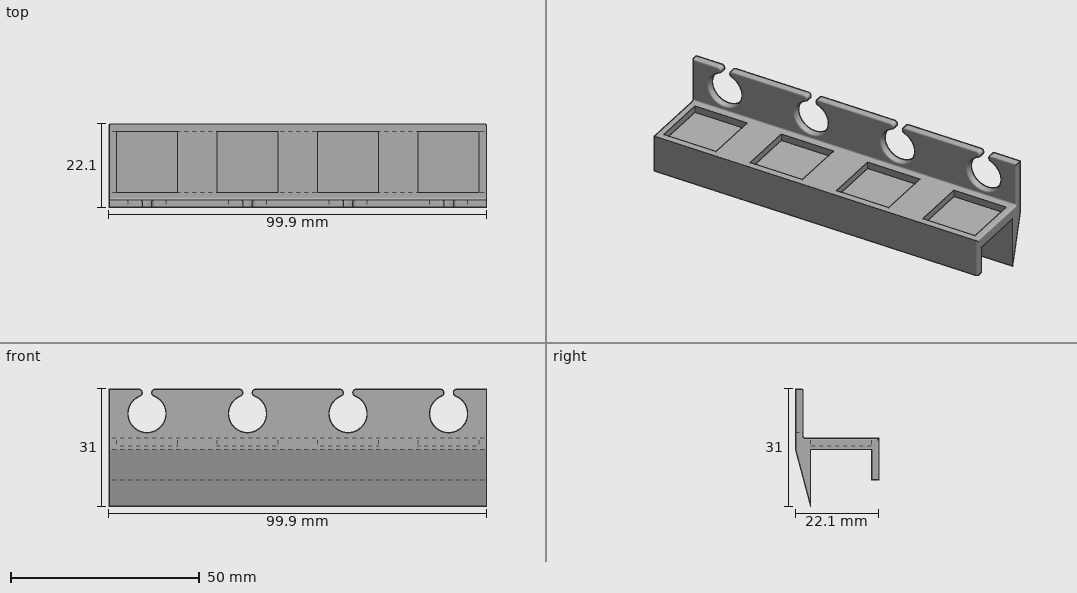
import cadquery as cq
import math

LENGTH = 99.9
HEIGHT = 31.0
WALL = 2.0
POCKET_SIZE = 16.1
POCKET_DEPTH = 2.0
WEDGE_THICKNESS = 4.0
WEDGE_HEIGHT = 15.0
SHELF_THICKNESS = 3.0
LIP_DROP = 8.0
EDGE_RADIUS = 0.5

STATIONS = 4
HOLE_RADIUS = 5.0
HOLE_DROP = 6.5
TIP_RADIUS = 0.96

CHANNEL_BACK = WEDGE_THICKNESS + POCKET_SIZE
DEPTH = CHANNEL_BACK + WALL
SHELF_BOTTOM = WEDGE_HEIGHT
SHELF_TOP = SHELF_BOTTOM + SHELF_THICKNESS
LIP_BOTTOM = SHELF_BOTTOM - LIP_DROP
HOLE_Z = HEIGHT - HOLE_DROP
FIRST_STATION = WALL + POCKET_SIZE / 2
PITCH = (LENGTH - 2 * FIRST_STATION) / (STATIONS - 1)
STATION_X = [FIRST_STATION + i * PITCH for i in range(STATIONS)]


def make_bracket():
    """Constant cross-section along X: upright plate, shelf, back lip and tapered blade."""
    body = (
        cq.Workplane("YZ")
        .moveTo(0, HEIGHT)
        .lineTo(0, WEDGE_HEIGHT)
        .lineTo(WEDGE_THICKNESS, 0)
        .lineTo(WEDGE_THICKNESS, SHELF_BOTTOM)
        .lineTo(CHANNEL_BACK, SHELF_BOTTOM)
        .lineTo(CHANNEL_BACK, LIP_BOTTOM)
        .lineTo(DEPTH, LIP_BOTTOM)
        .lineTo(DEPTH, SHELF_TOP)
        .lineTo(WALL, SHELF_TOP)
        .lineTo(WALL, HEIGHT)
        .close()
        .extrude(LENGTH)
    )
    inner_corner = cq.selectors.NearestToPointSelector((LENGTH / 2, WALL, SHELF_TOP))
    return body.edges(inner_corner).fillet(EDGE_RADIUS)


def make_pocket(x):
    """Square blind pocket in the shelf top."""
    floor_center = (x, WEDGE_THICKNESS + POCKET_SIZE / 2, SHELF_TOP - POCKET_DEPTH)
    return cq.Workplane("XY", origin=floor_center).rect(POCKET_SIZE, POCKET_SIZE).extrude(POCKET_DEPTH)


def make_clip_hole(x):
    """Round hole opening through the plate's top edge between two rounded tips.

    Each tip is a circle tangent to the top edge and, externally, to the hole.
    """
    tip_z = HOLE_DROP - TIP_RADIUS
    tip_distance = HOLE_RADIUS + TIP_RADIUS
    tip_x = math.sqrt(tip_distance**2 - tip_z**2)
    touch_x = tip_x * HOLE_RADIUS / tip_distance
    touch_z = tip_z * HOLE_RADIUS / tip_distance
    half_gap = tip_x - TIP_RADIUS
    return (
        cq.Workplane("XZ", origin=(x, 0, HOLE_Z))
        .moveTo(-tip_x, HOLE_DROP)
        .threePointArc((-half_gap, tip_z), (-touch_x, touch_z))
        .threePointArc((0, -HOLE_RADIUS), (touch_x, touch_z))
        .threePointArc((half_gap, tip_z), (tip_x, HOLE_DROP))
        .close()
        .extrude(-WALL)
    )


def round_edges(body):
    """Round the plate's rear rim, clip holes included, and the shelf and lip edges at both ends."""
    plate_back = body.faces(cq.selectors.NearestToPointSelector((LENGTH / 2, WALL, HOLE_Z)))
    rim_min_z = SHELF_TOP + 2 * EDGE_RADIUS
    rounded = [edge for edge in plate_back.edges().vals() if edge.Center().z > rim_min_z]

    shelf_middle = ((WALL + DEPTH) / 2, SHELF_TOP)
    corner_middle = (WALL, SHELF_TOP)
    lip_middle = (DEPTH, (LIP_BOTTOM + SHELF_TOP) / 2)
    for x in (0, LENGTH):
        for y, z in (corner_middle, shelf_middle, lip_middle):
            rounded += body.edges(cq.selectors.NearestToPointSelector((x, y, z))).vals()
    return body.newObject(rounded).fillet(EDGE_RADIUS)


bracket = make_bracket()
for station_x in STATION_X:
    bracket = bracket.cut(make_pocket(station_x)).cut(make_clip_hole(station_x))
result = round_edges(bracket)